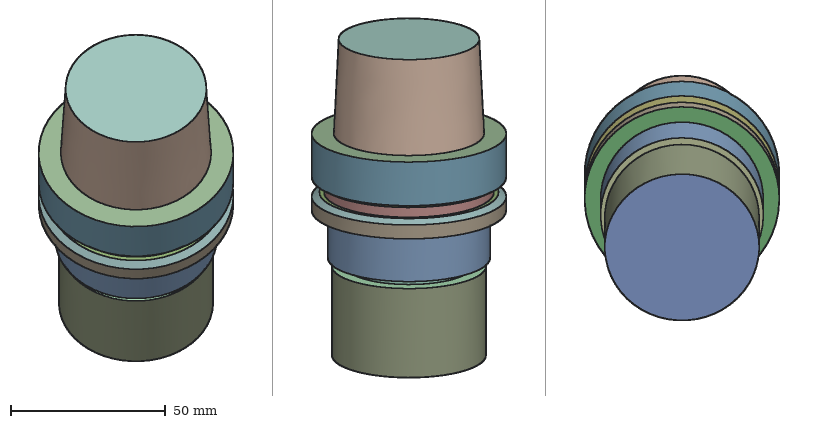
import cadquery as cq

total_height = 107.0
nut_height = 30.2
body_bottom = 33.0
flange_bottom = 49.0
groove_bottom = 55.1
groove_top = 58.8
flange_top = 75.0
groove_chamfer_height = 1.4

nut_diameter = 50.0
neck_diameter = 41.0
body_diameter = 52.6
flange_diameter = 63.0
groove_diameter = 55.0
groove_mouth_diameter = 58.0
shank_base_diameter = 48.7
shank_top_diameter = 45.6


def make_holder():
    """Tool holder: neck, body, grooved flange and tapered shank, turned about Z."""
    profile = [
        (0, nut_height),
        (neck_diameter / 2, nut_height),
        (neck_diameter / 2, body_bottom),
        (body_diameter / 2, body_bottom),
        (body_diameter / 2, flange_bottom),
        (flange_diameter / 2, flange_bottom),
        (flange_diameter / 2, groove_bottom - groove_chamfer_height),
        (groove_mouth_diameter / 2, groove_bottom),
        (groove_diameter / 2, groove_bottom),
        (groove_diameter / 2, groove_top),
        (groove_mouth_diameter / 2, groove_top),
        (flange_diameter / 2, groove_top + groove_chamfer_height),
        (flange_diameter / 2, flange_top),
        (shank_base_diameter / 2, flange_top),
        (shank_top_diameter / 2, total_height),
        (0, total_height),
    ]
    return cq.Workplane("XZ").polyline(profile).close().revolve(360, (0, 0, 0), (0, 1, 0))


def make_nut():
    """Plain cylindrical clamping nut that meets the underside of the neck."""
    return cq.Workplane("XY").circle(nut_diameter / 2).extrude(nut_height)


holder = make_holder()
nut = make_nut()

result = cq.Compound.makeCompound([holder.val(), nut.val()])